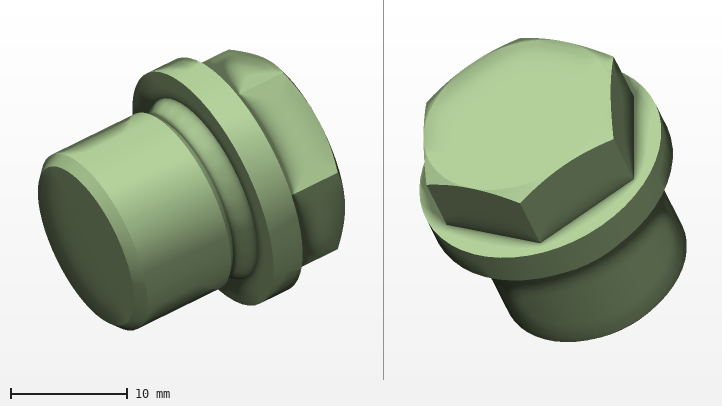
import cadquery as cq
import math

total_length = 21.0
flange_diameter = 22.0
flange_thickness = 3.0
head_height = 6.0
head_across_flats = 17.0
head_chamfer_angle = 30.0
shank_diameter = 16.65
shank_chamfer = 0.84
neck_length = 1.75
neck_base_diameter = 17.0

flange_radius = flange_diameter / 2
shank_radius = shank_diameter / 2
shank_end_radius = shank_radius - shank_chamfer
head_flat_radius = head_across_flats / 2
head_corner_radius = head_flat_radius / math.cos(math.radians(30))
head_chamfer_drop = (head_corner_radius - head_flat_radius) * math.tan(math.radians(head_chamfer_angle))

head_top = total_length
flange_top = head_top - head_height
flange_bottom = flange_top - flange_thickness
shank_top = flange_bottom - neck_length


def revolve_about_y(points):
    """Revolve a closed (radius, y) outline about the plug axis."""
    return cq.Workplane("XY").polyline(points).close().revolve(360, (0, 0, 0), (0, 1, 0))


def make_body():
    """Chamfered shank, conical neck and sealing flange."""
    return revolve_about_y([
        (0, 0),
        (shank_end_radius, 0),
        (shank_radius, shank_chamfer),
        (shank_radius, shank_top - shank_chamfer),
        (shank_end_radius, shank_top),
        (neck_base_diameter / 2, flange_bottom),
        (flange_radius, flange_bottom),
        (flange_radius, flange_top),
        (0, flange_top),
    ])


def make_head():
    """Hexagon with corners on +Z and -Z, its outer corners trimmed by a cone."""
    corner_angles = [math.radians(90 + 60 * i) for i in range(6)]
    corners = [
        (head_corner_radius * math.cos(a), head_corner_radius * math.sin(a))
        for a in corner_angles
    ]
    hexagon = (
        cq.Workplane("XZ", origin=(0, flange_top, 0))
        .polyline(corners)
        .close()
        .extrude(-head_height)
    )
    chamfer_envelope = revolve_about_y([
        (0, flange_top),
        (head_corner_radius, flange_top),
        (head_corner_radius, head_top - head_chamfer_drop),
        (head_flat_radius, head_top),
        (0, head_top),
    ])
    return hexagon.intersect(chamfer_envelope)


result = make_body().union(make_head())